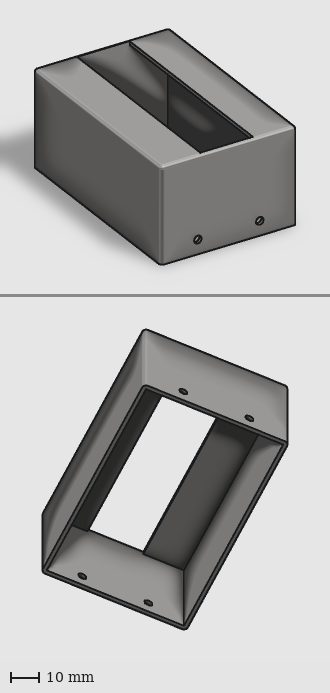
import cadquery as cq

length = 86.0
width = 57.0
height = 40.1
wall = 1.55
edge_radius = wall

slot_width = 22.0

hole_diameter = 3.1
hole_spacing = 26.0
hole_height = 6.0

inner_length = length - 2 * wall
inner_width = width - 2 * wall
inner_height = height - wall


def bottom_block(size_x, size_y, size_z):
    """Block standing on the base plane, centred in X and Y."""
    return cq.Workplane("XY").box(size_x, size_y, size_z, centered=(True, True, False))


def end_wall_hole(y):
    """Cylinder along X that passes through both end walls."""
    return (
        cq.Workplane("YZ")
        .center(y, hole_height)
        .circle(hole_diameter / 2)
        .extrude(length, both=True)
    )


body = bottom_block(length, width, height).edges("|Z or >Z").fillet(edge_radius)

body = body.cut(bottom_block(inner_length, inner_width, inner_height))
body = body.cut(bottom_block(inner_length, slot_width, height))

for side in (-1, 1):
    body = body.cut(end_wall_hole(side * hole_spacing / 2))

result = body